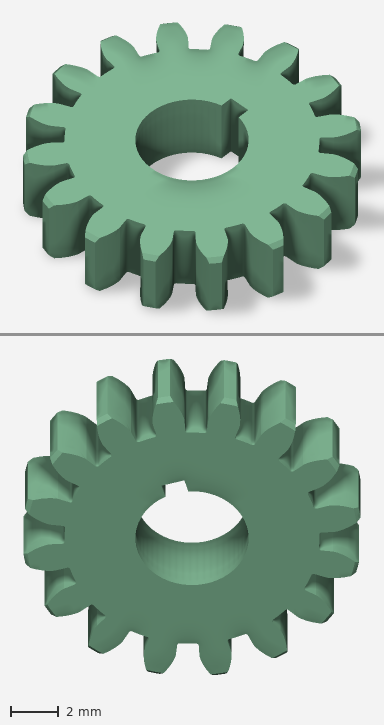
import cadquery as cq
import math

TEETH = 16
DIAMETRAL_PITCH = 32
INCH = 25.4
PRESSURE_ANGLE = math.radians(20)
ADDENDUM_FACTOR = 1.0
DEDENDUM_FACTOR = 1.25
FACE_WIDTH = INCH / 8
BORE_DIAMETER = INCH * 3 / 16
KEYWAY_WIDTH = 1.0
KEYWAY_TOP = 2.91
TIP_CHAMFER = 0.19
ROOT_FILLET = 0.1
CUT_CLEARANCE = 0.2
FLANK_STEPS = 6

MODULE = INCH / DIAMETRAL_PITCH
PITCH_RADIUS = MODULE * TEETH / 2
BASE_RADIUS = PITCH_RADIUS * math.cos(PRESSURE_ANGLE)
TIP_RADIUS = PITCH_RADIUS + ADDENDUM_FACTOR * MODULE
ROOT_RADIUS = PITCH_RADIUS - DEDENDUM_FACTOR * MODULE
CUTTER_RADIUS = TIP_RADIUS + CUT_CLEARANCE
TOOTH_ANGLE = 2 * math.pi / TEETH


def polar(radius, angle):
    return (radius * math.cos(angle), radius * math.sin(angle))


def involute_angle(radius):
    """Angle an involute has swept from the base circle out to the given radius."""
    pressure_angle = math.acos(BASE_RADIUS / radius)
    return math.tan(pressure_angle) - pressure_angle


TOOTH_HALF_ANGLE = TOOTH_ANGLE / 4 + involute_angle(PITCH_RADIUS)
SPACE_HALF_ANGLE = TOOTH_ANGLE / 2 - TOOTH_HALF_ANGLE


def flank_points(side):
    """Involute points from the base circle outward; side is +1 or -1."""
    unwind_limit = math.sqrt((CUTTER_RADIUS / BASE_RADIUS) ** 2 - 1)
    points = []
    for step in range(FLANK_STEPS + 1):
        unwind = unwind_limit * step / FLANK_STEPS
        radius = BASE_RADIUS * math.hypot(1, unwind)
        points.append(polar(radius, side * (SPACE_HALF_ANGLE + involute_angle(radius))))
    return points


def gear_blank():
    """Disc with both rims chamfered, which bevels the ends of every tooth tip."""
    disc = cq.Workplane("XY").circle(TIP_RADIUS).extrude(FACE_WIDTH)
    return disc.faces("<Z or >Z").edges().chamfer(TIP_CHAMFER)


def tooth_space():
    """Cutter for the space centred on +X: involute flanks, radial below the base circle."""
    lower = flank_points(-1)
    upper = flank_points(1)
    root_start = polar(ROOT_RADIUS, -SPACE_HALF_ANGLE)
    root_end = polar(ROOT_RADIUS, SPACE_HALF_ANGLE)
    outline = (
        cq.Workplane("XY")
        .moveTo(*root_start)
        .threePointArc((ROOT_RADIUS, 0), root_end)
        .lineTo(*upper[0])
        .spline(upper[1:], includeCurrent=True)
        .lineTo(*lower[-1])
        .spline(lower[-2::-1], includeCurrent=True)
        .close()
    )
    return outline.extrude(FACE_WIDTH).edges("|Z").edges("<X").fillet(ROOT_FILLET)


def bore_with_keyway():
    bore = cq.Workplane("XY").circle(BORE_DIAMETER / 2).extrude(FACE_WIDTH)
    keyway = cq.Workplane("XY").box(KEYWAY_WIDTH, KEYWAY_TOP, FACE_WIDTH, centered=(True, False, False))
    return bore.union(keyway)


result = gear_blank().cut(bore_with_keyway())

space = tooth_space()
for index in range(TEETH):
    angle = index * TOOTH_ANGLE - SPACE_HALF_ANGLE
    result = result.cut(space.rotate((0, 0, 0), (0, 0, 1), math.degrees(angle)))